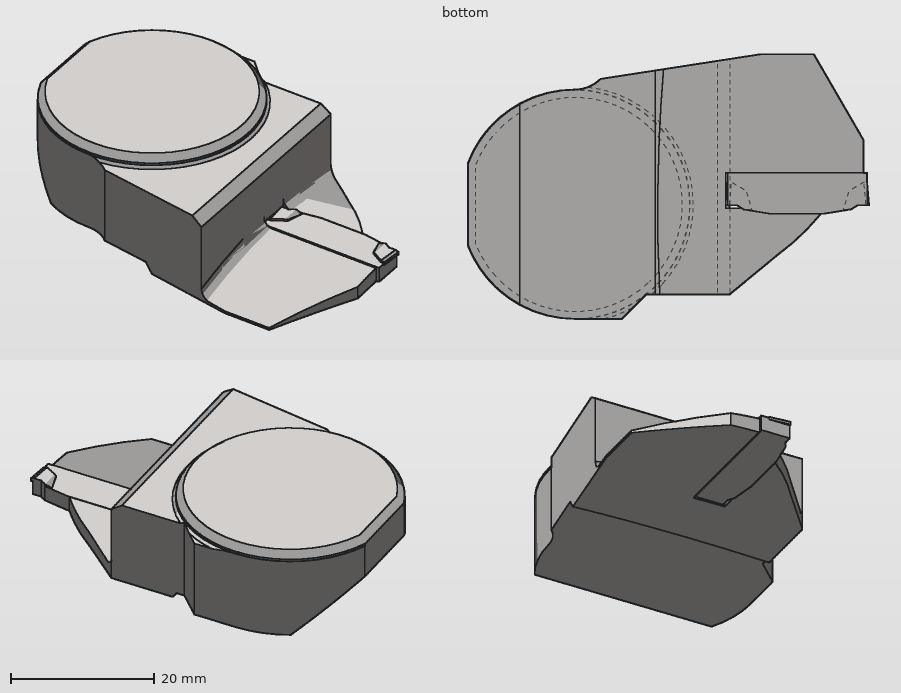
import cadquery as cq
import math

LENGTH = 56.1
BODY_RADIUS = 16.05
RIM_RADIUS = 16.0
RIM_CHAMFER = 1.0
FLAT_X = -15.0
TOP_Z = 15.55
RIM_BASE_Z = 14.2
SHOULDER_Z = 13.8
FLARE_RADIUS = 16.5
UNDERSIDE_Z = 1.75

WALL_X = 21.6
WALL_CHAMFER_X = 1.7
WALL_CHAMFER_Z = 1.2
BACK_SLOPE = 7.3
STEP_X = 11.2
STEP_RUN = 1.35
NOSE_Y = 12.6
CORNER_X = 6.55
NECK_RADIUS = 5.05
NECK_ANGLE = 45.0

BLADE_X = 40.35
BLADE_MIN_Y = -21.0
BLADE_FLAT_START_X = 26.0
BLADE_FLAT_END_X = 33.4
BLADE_SKEW_Y = -9.0
JAW_BEND_X = 28.3
JAW_BEND_Y = 7.1
JAW_MID_X = 31.1
JAW_MID_Y = 4.8
JAW_TIP_X = 34.3
JAW_TIP_Y = 1.45
BLADE_AXIS_Y = 0.85
BLADE_TOP_Z = 3.7
BLADE_TOP_RADIUS = 72.95
BLADE_BOTTOM_RADIUS = 182.3
WALL_FILLET = 1.45

INSERT_CENTRE_X = 31.1
INSERT_TOP_Z = 3.75
INSERT_BOTTOM_Z = 1.35
INSERT_MIN_Y = -4.4
INSERT_MAX_Y = 1.35
INSERT_HALF_FLAT = 3.7
TIP_Y = 0.15
TIP_X = FLAT_X + LENGTH
TIP_SETBACK = 0.3
TIP_STEP_X = 39.5
TIP_STEP_RUN = 0.9
TIP_STEP_TOP_Y = 0.75
PAD_TOP_Z = 4.1
PAD_BOTTOM_Z = 3.5
PAD_START_X = 37.5
PAD_KNEE_X = 38.25
PAD_KNEE_Y = -1.9
PAD_HEEL_X = 40.3
PAD_HEEL_Y = -3.1
PAD_RAMP = 1.05
PAD_BEVEL_DROP = 0.15
PAD_BEVEL_RUN = 0.5
SEAT_GAP_Y = 0.55
SEAT_GAP_END_X = 23.0

REACH = 33.65
CLEAR = 0.55

BLADE_BOTTOM_Z = (BLADE_AXIS_Y - BLADE_MIN_Y) ** 2 / (2 * BLADE_BOTTOM_RADIUS)
HALF_LENGTH = TIP_X - INSERT_CENTRE_X


def crest_cylinder(radius, crest_z):
    """Cylinder along X whose highest line is at the given height."""
    return (
        cq.Workplane("YZ", origin=(-REACH, BLADE_AXIS_Y, crest_z - radius))
        .circle(radius)
        .extrude(REACH + LENGTH)
    )


def prism_xz(points):
    """Outline in X and Z, carried across the whole width."""
    return cq.Workplane("XZ").polyline(points).close().extrude(REACH, both=True)


def holder_outline():
    """Plan shape of disc, block and blade as a tall prism."""
    flat_y = math.sqrt(BODY_RADIUS**2 - FLAT_X**2)
    diagonal = BODY_RADIUS - NOSE_Y
    full_angle = math.radians(NECK_ANGLE)
    neck_x = NECK_RADIUS * math.sin(full_angle)
    neck_drop = NECK_RADIUS * (1 - math.cos(full_angle))
    half_angle = full_angle / 2
    neck_mid_x = NECK_RADIUS * math.sin(half_angle)
    neck_mid_drop = NECK_RADIUS * (1 - math.cos(half_angle))
    flat_angle = math.atan2(flat_y, FLAT_X)
    disc_angle = (flat_angle + math.pi / 2) / 2
    disc_mid_x = BODY_RADIUS * math.cos(disc_angle)
    disc_mid_y = BODY_RADIUS * math.sin(disc_angle)
    return (
        cq.Workplane("XY")
        .moveTo(FLAT_X, flat_y)
        .threePointArc((disc_mid_x, disc_mid_y), (0, BODY_RADIUS))
        .lineTo(CORNER_X, BODY_RADIUS)
        .lineTo(CORNER_X + diagonal, NOSE_Y)
        .lineTo(WALL_X, NOSE_Y)
        .lineTo(JAW_BEND_X, JAW_BEND_Y)
        .threePointArc((JAW_MID_X, JAW_MID_Y), (JAW_TIP_X, JAW_TIP_Y))
        .lineTo(BLADE_X, INSERT_MIN_Y)
        .lineTo(BLADE_X, BLADE_SKEW_Y)
        .lineTo(BLADE_FLAT_END_X, BLADE_MIN_Y)
        .lineTo(BLADE_FLAT_START_X, BLADE_MIN_Y)
        .lineTo(neck_x, -BODY_RADIUS - neck_drop)
        .threePointArc((neck_mid_x, -BODY_RADIUS - neck_mid_drop), (0, -BODY_RADIUS))
        .threePointArc((disc_mid_x, -disc_mid_y), (FLAT_X, -flat_y))
        .close()
        .extrude(TOP_Z)
    )


def block_and_blade():
    block = prism_xz([
        (FLAT_X, SHOULDER_Z),
        (WALL_X - WALL_CHAMFER_X, SHOULDER_Z),
        (WALL_X, SHOULDER_Z - WALL_CHAMFER_Z),
        (WALL_X, 0),
        (FLAT_X, 0),
    ])
    blade = (
        cq.Workplane("XY")
        .box(BLADE_X, 2 * REACH, TOP_Z, centered=(False, True, False))
        .intersect(crest_cylinder(BLADE_TOP_RADIUS, BLADE_TOP_Z))
    )
    wall_foot = cq.selectors.BoxSelector(
        (WALL_X - CLEAR, -REACH, 0), (WALL_X + CLEAR, REACH, BLADE_TOP_Z + CLEAR)
    )
    return block.union(blade).edges(wall_foot).fillet(WALL_FILLET)


def disc():
    """Round upper part with a chamfered rim and a flat, chamfered likewise, at its back."""
    base = (
        cq.Workplane("XY", origin=(0, 0, SHOULDER_Z))
        .circle(BODY_RADIUS)
        .extrude(RIM_BASE_Z - SHOULDER_Z)
    )
    rim = (
        cq.Workplane("XY", origin=(0, 0, RIM_BASE_Z))
        .circle(RIM_RADIUS)
        .extrude(TOP_Z - RIM_BASE_Z)
        .faces(">Z")
        .chamfer(RIM_CHAMFER)
    )
    behind_flat = prism_xz([
        (FLAT_X, SHOULDER_Z),
        (FLAT_X, TOP_Z - RIM_CHAMFER),
        (FLAT_X + RIM_CHAMFER, TOP_Z),
        (-REACH, TOP_Z),
        (-REACH, SHOULDER_Z),
    ])
    return base.union(rim).cut(behind_flat)


def flare():
    """Cone that runs from the disc down to the shoulder."""
    return (
        cq.Workplane("XZ")
        .polyline([
            (0, SHOULDER_Z),
            (FLARE_RADIUS, SHOULDER_Z),
            (BODY_RADIUS, RIM_BASE_Z),
            (0, RIM_BASE_Z),
        ])
        .close()
        .revolve(360, (0, 0, 0), (0, 1, 0))
    )


def underside_cut():
    """Raised underside with its front step and the slope at the back."""
    slope_top_z = UNDERSIDE_Z + BACK_SLOPE
    return prism_xz([
        (FLAT_X, slope_top_z),
        (FLAT_X + BACK_SLOPE, UNDERSIDE_Z),
        (STEP_X, UNDERSIDE_Z),
        (STEP_X + STEP_RUN, 0),
        (STEP_X + STEP_RUN, -CLEAR),
        (FLAT_X - CLEAR, -CLEAR),
        (FLAT_X - CLEAR, slope_top_z),
    ])


def insert_profile(end_inset):
    """Plan outline of the insert, the same at both ends, with its ends drawn in by end_inset."""
    step = TIP_STEP_X - INSERT_CENTRE_X
    right_side = [
        (INSERT_HALF_FLAT, INSERT_MAX_Y),
        (step - TIP_STEP_RUN, TIP_STEP_TOP_Y),
        (step, TIP_Y),
        (HALF_LENGTH - end_inset, TIP_Y),
        (HALF_LENGTH - end_inset, INSERT_MIN_Y),
    ]
    left_side = [(-x, y) for x, y in reversed(right_side)]
    return cq.Workplane("XY", origin=(INSERT_CENTRE_X, 0, 0)).polyline(right_side + left_side).close()


def seat_prism(height):
    """Plan shape of the insert plus the gap beside its rear tip."""
    rear_x = INSERT_CENTRE_X - HALF_LENGTH
    gap = (
        cq.Workplane("XY", origin=(rear_x, INSERT_MIN_Y, 0))
        .box(SEAT_GAP_END_X - rear_x, SEAT_GAP_Y - INSERT_MIN_Y, height, centered=False)
    )
    return insert_profile(0).extrude(height).union(gap)


def insert_seat():
    """Through slot for the insert, open upwards in front of the wall."""
    in_front_of_wall = (
        cq.Workplane("XY", origin=(WALL_X, 0, 0))
        .box(LENGTH, 2 * REACH, TOP_Z, centered=(False, True, False))
    )
    return seat_prism(PAD_TOP_Z).union(seat_prism(TOP_Z).intersect(in_front_of_wall))


def make_holder():
    return (
        block_and_blade()
        .union(flare())
        .intersect(holder_outline())
        .union(disc())
        .cut(underside_cut())
        .cut(crest_cylinder(BLADE_BOTTOM_RADIUS, BLADE_BOTTOM_Z))
        .cut(insert_seat())
    )


def tip_pad():
    """Raised cutting tip at the +X end, with a ramp up from the insert's face."""
    pad = (
        cq.Workplane("XY", origin=(0, 0, PAD_BOTTOM_Z))
        .polyline([
            (PAD_START_X, TIP_STEP_TOP_Y),
            (PAD_KNEE_X, PAD_KNEE_Y),
            (PAD_HEEL_X, PAD_HEEL_Y),
            (TIP_X - TIP_SETBACK, PAD_HEEL_Y),
            (TIP_X, TIP_Y),
            (TIP_STEP_X, TIP_Y),
            (TIP_STEP_X - TIP_STEP_RUN, TIP_STEP_TOP_Y),
        ])
        .close()
        .extrude(PAD_TOP_Z - PAD_BOTTOM_Z)
    )
    ramp = prism_xz([
        (PAD_START_X, INSERT_TOP_Z),
        (PAD_START_X + PAD_RAMP, PAD_TOP_Z),
        (PAD_START_X, PAD_TOP_Z),
    ])
    end_edge = cq.selectors.BoxSelector(
        (TIP_X - TIP_SETBACK, PAD_HEEL_Y, PAD_TOP_Z - PAD_BEVEL_DROP),
        (TIP_X, TIP_Y, PAD_TOP_Z + PAD_BEVEL_DROP),
    )
    return pad.edges(end_edge).chamfer(PAD_BEVEL_DROP, PAD_BEVEL_RUN).cut(ramp)


def make_insert():
    shank = (
        insert_profile(TIP_SETBACK)
        .extrude(INSERT_TOP_Z - INSERT_BOTTOM_Z)
        .translate((0, 0, INSERT_BOTTOM_Z))
    )
    front_pad = tip_pad()
    rear_pad = front_pad.mirror("YZ", (INSERT_CENTRE_X, 0, 0))
    return shank.union(front_pad).union(rear_pad)


holder = make_holder()
insert = make_insert()
result = cq.Compound.makeCompound([holder.solids().val(), insert.solids().val()])